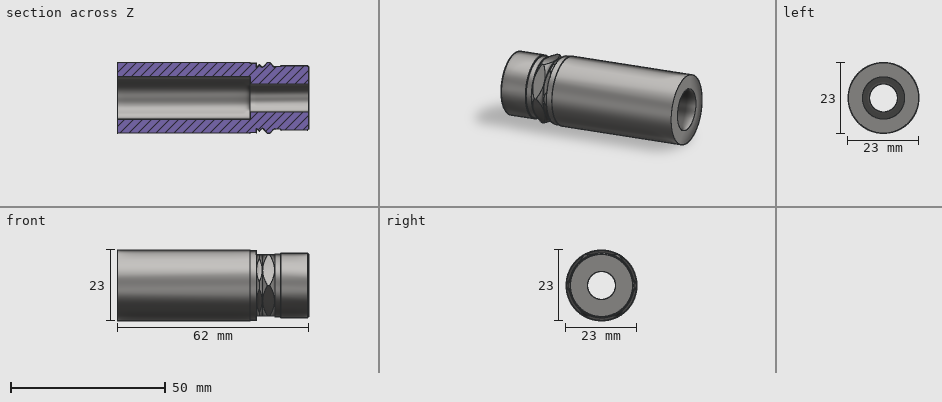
import cadquery as cq

total_length = 62.0
sleeve_length = 43.0
collar_end = 45.0
narrow_hex_end = 47.0
wide_hex_end = 51.0
head_start = 52.8

sleeve_diameter = 23.0
collar_diameter = 22.6
neck_diameter = 20.4
head_diameter = 21.0
rear_chamfer = 0.2
end_chamfer = 0.45

hex_across_corners = 23.0
hex_bevel_diameter = 19.75

entry_bore_diameter = 13.7
through_bore_diameter = 9.0


def cylinder(start, end, diameter):
    """Solid cylinder on the X axis between two stations."""
    return cq.Workplane("YZ", origin=(start, 0, 0)).circle(diameter / 2).extrude(end - start)


def bevelled_hex(start, end):
    """Hexagonal section with corners on the Y axis, cut back by a 45 degree cone at each end."""
    prism = (
        cq.Workplane("YZ", origin=(start, 0, 0))
        .polygon(6, hex_across_corners)
        .extrude(end - start)
    )
    end_radius = hex_bevel_diameter / 2
    half_length = (end - start) / 2
    double_cone = (
        cq.Workplane("XY")
        .moveTo(start, 0)
        .lineTo(start, end_radius)
        .lineTo(start + half_length, end_radius + half_length)
        .lineTo(end, end_radius)
        .lineTo(end, 0)
        .close()
        .revolve(360, (0, 0, 0), (1, 0, 0))
    )
    return prism.intersect(double_cone)


def head():
    """Plain cylindrical head, chamfered at both ends."""
    blank = cylinder(head_start, total_length, head_diameter)
    return blank.faces("<X").chamfer(rear_chamfer).faces(">X").chamfer(end_chamfer)


body = (
    cylinder(0, sleeve_length, sleeve_diameter)
    .union(cylinder(sleeve_length, collar_end, collar_diameter))
    .union(bevelled_hex(collar_end, narrow_hex_end))
    .union(bevelled_hex(narrow_hex_end, wide_hex_end))
    .union(cylinder(wide_hex_end, head_start, neck_diameter))
    .union(head())
)

entry_bore = cylinder(0, sleeve_length, entry_bore_diameter)
through_bore = cylinder(0, total_length, through_bore_diameter)

result = body.cut(entry_bore).cut(through_bore)